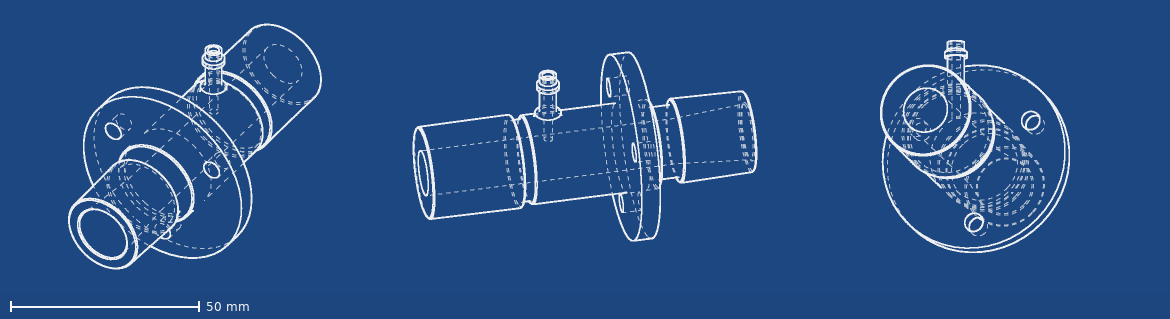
import cadquery as cq
import math

length = 88.5
body_radius = 24.0 / 2
front_neck_radius = 19.5 / 2
rear_neck_radius = 22.0 / 2
front_sleeve_tip_radius = 10.9
front_sleeve_root_radius = 11.3
rear_sleeve_tip_radius = 12.4
rear_sleeve_root_radius = 12.6
front_sleeve_end = 20.0
body_front = 25.9
body_rear = 60.5
rear_sleeve_start = 63.4
edge_break = 0.35
groove_root_fillet = 0.3

bore_radius = 12.0 / 2
socket_radius = 15.0 / 2
socket_depth = 20.0
bore_edge_break = 0.35

flange_radius = 50.0 / 2
flange_front = 29.5
flange_thickness = 5.05
flange_root_fillet = 0.22
bolt_circle_radius = 18.0
bolt_hole_diameter = 5.0
bolt_angles = (30, 150, 270)

nipple_y = 54.5
overall_height = 51.5
nipple_top = overall_height - flange_radius
nipple_radius = 4.5 / 2
barb_radius = 6.0 / 2
barb_bottom = 22.5
barb_shoulder = 23.7
collar_radius = 7.0 / 2
collar_top = 14.4
nipple_root_fillet = 0.5
collar_fillet = 2.0
selection_margin = 0.9
nipple_mouth_radius = 1.5
nipple_mouth_depth = 1.3
nipple_bore_radius = 1.15


def revolve_about_y(points):
    """Turn a closed (radius, y) outline about the Y axis."""
    return cq.Workplane("XY").polyline(points).close().revolve(360, (0, 0), (0, 1))


def revolve_nipple(points):
    """Turn a closed (radius, z) outline about the vertical axis of the nipple."""
    turned = cq.Workplane("XZ").polyline(points).close().revolve(360, (0, 0), (0, 1))
    return turned.translate((0, nipple_y, 0))


def root_ring(radius, wall, side, fillet):
    """Concave ring on a shaft about Y, filling its corner with the wall at Y = wall.

    The side is +1 where the shaft runs on towards +Y from the wall, -1 towards -Y.
    """
    arc_middle = fillet * (1 - math.sqrt(0.5))
    overlap_radius = radius - fillet
    return (
        cq.Workplane("XY")
        .moveTo(overlap_radius, wall)
        .lineTo(radius + fillet, wall)
        .threePointArc(
            (radius + arc_middle, wall + side * arc_middle),
            (radius, wall + side * fillet),
        )
        .lineTo(overlap_radius, wall + side * fillet)
        .close()
        .revolve(360, (0, 0), (0, 1))
    )


def make_tube():
    return revolve_about_y([
        (0, 0),
        (front_sleeve_tip_radius - edge_break, 0),
        (front_sleeve_tip_radius, edge_break),
        (front_sleeve_root_radius, front_sleeve_end - edge_break),
        (front_sleeve_root_radius - edge_break, front_sleeve_end),
        (front_neck_radius, front_sleeve_end),
        (front_neck_radius, body_front),
        (body_radius - edge_break, body_front),
        (body_radius, body_front + edge_break),
        (body_radius, body_rear - edge_break),
        (body_radius - edge_break, body_rear),
        (rear_neck_radius, body_rear),
        (rear_neck_radius, rear_sleeve_start),
        (rear_sleeve_root_radius - edge_break, rear_sleeve_start),
        (rear_sleeve_root_radius, rear_sleeve_start + edge_break),
        (rear_sleeve_tip_radius, length - edge_break),
        (rear_sleeve_tip_radius - edge_break, length),
        (0, length),
    ])


def fill_roots(part):
    """Round the corners in both grooves and where the flange meets the body."""
    flange_rear = flange_front + flange_thickness
    roots = (
        (front_neck_radius, front_sleeve_end, 1, groove_root_fillet),
        (front_neck_radius, body_front, -1, groove_root_fillet),
        (body_radius, flange_front, -1, flange_root_fillet),
        (body_radius, flange_rear, 1, flange_root_fillet),
        (rear_neck_radius, body_rear, 1, groove_root_fillet),
        (rear_neck_radius, rear_sleeve_start, -1, groove_root_fillet),
    )
    for radius, wall, side, fillet in roots:
        part = part.union(root_ring(radius, wall, side, fillet))
    return part


def make_bore():
    return revolve_about_y([
        (0, 0),
        (socket_radius + bore_edge_break, 0),
        (socket_radius, bore_edge_break),
        (bore_radius, socket_depth),
        (bore_radius, length),
        (0, length),
    ])


def add_collar(tube):
    """Stand the nipple collar on the body and blend their joint."""
    collar = (
        cq.Workplane("XY")
        .center(0, nipple_y)
        .circle(collar_radius)
        .extrude(collar_top)
    )
    reach = collar_radius + selection_margin
    joint = cq.selectors.BoxSelector(
        (-reach, nipple_y - reach, front_neck_radius),
        (reach, nipple_y + reach, body_radius + selection_margin),
        boundingbox=True,
    )
    return tube.union(collar).edges(joint).fillet(collar_fillet)


def make_nipple():
    pin = revolve_nipple([
        (0, body_radius),
        (nipple_radius, body_radius),
        (nipple_radius, barb_bottom),
        (barb_radius, barb_bottom),
        (barb_radius, barb_shoulder),
        (nipple_radius, barb_shoulder + barb_radius - nipple_radius),
        (nipple_radius, nipple_top),
        (0, nipple_top),
    ])
    root = root_ring(nipple_radius, collar_top, 1, nipple_root_fillet)
    upright_root = root.rotate((0, 0, 0), (1, 0, 0), 90).translate((0, nipple_y, 0))
    return pin.union(upright_root)


def make_nipple_bore():
    """Drilling from the nipple mouth down into the main bore."""
    mouth_floor = nipple_top - nipple_mouth_depth
    return revolve_nipple([
        (0, 0),
        (nipple_bore_radius, 0),
        (nipple_bore_radius, mouth_floor - nipple_mouth_radius + nipple_bore_radius),
        (nipple_mouth_radius, mouth_floor),
        (nipple_mouth_radius, nipple_top),
        (0, nipple_top),
    ])


def make_flange():
    flange = cq.Workplane("XY").circle(flange_radius).extrude(flange_thickness)
    bolt_points = [
        (
            bolt_circle_radius * math.cos(math.radians(angle)),
            bolt_circle_radius * math.sin(math.radians(angle)),
        )
        for angle in bolt_angles
    ]
    flange = flange.faces(">Z").workplane().pushPoints(bolt_points).hole(bolt_hole_diameter)
    upright = flange.rotate((0, 0, 0), (1, 0, 0), 90)
    return upright.translate((0, flange_front + flange_thickness, 0))


shell = add_collar(make_tube()).union(make_nipple()).union(make_flange())
result = fill_roots(shell).cut(make_bore()).cut(make_nipple_bore())